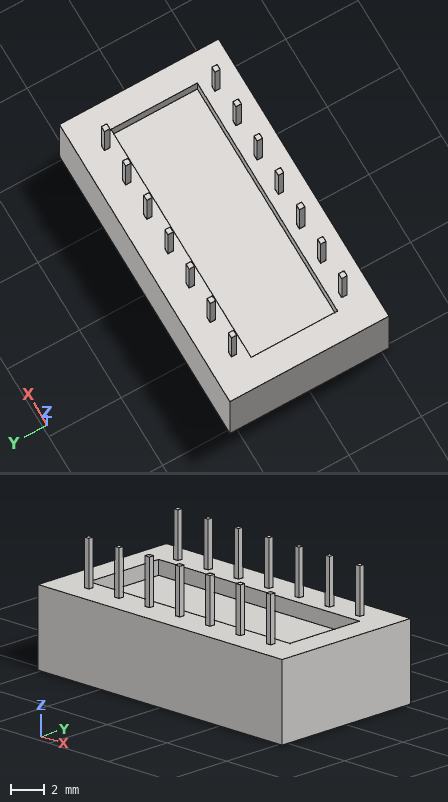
import cadquery as cq

body_length = 20.5
body_width = 11.0
body_height = 5.41

pocket_length = 16.85
pocket_width = 5.97
pocket_depth = 1.0

total_height = 8.6
pin_height = total_height - body_height
pin_side = 0.37
pins_per_row = 7
row_count = 2
pin_pitch = 2.55
row_spacing = 7.63


def make_housing():
    """Plain block with a centred pocket sunk into its top face."""
    block = cq.Workplane("XY").box(body_length, body_width, body_height, centered=(True, True, False))
    return block.faces(">Z").workplane().rect(pocket_length, pocket_width).cutBlind(-pocket_depth)


def add_pins(housing):
    """Raise both rows of pins from the rim around the pocket."""
    return (
        housing.faces(">Z")
        .workplane(origin=(0, 0, body_height))
        .rarray(pin_pitch, row_spacing, pins_per_row, row_count)
        .rect(pin_side, pin_side)
        .extrude(pin_height)
    )


result = add_pins(make_housing())